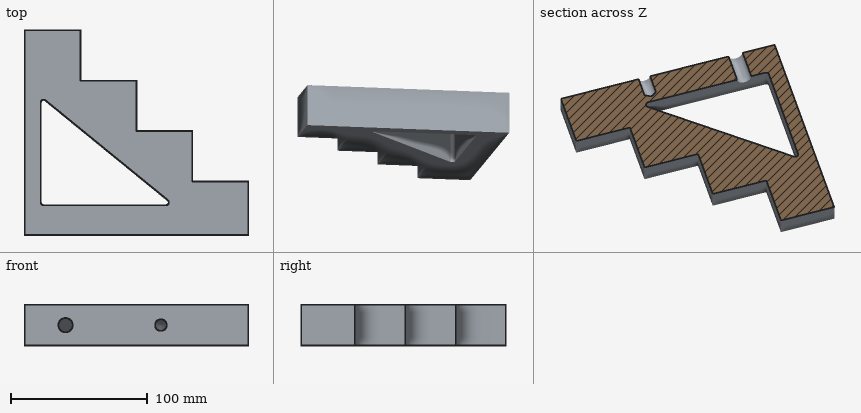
import cadquery as cq
import math

length = 164.0
depth = 150.0
thickness = 30.0
step_count = 4
step_run = length / step_count
step_rise = 36.9

window_left = 12.0
window_right = 105.6
window_bottom = 22.0
window_top = 99.0
window_corner_radius = 2.0

through_hole_x = 30.0
through_hole_diameter = 10.5
blind_hole_x = 99.9
blind_hole_diameter = 8.5
blind_hole_depth = 14.8
drill_tip_angle = 118.0


def stepped_plate():
    """Plate whose far side climbs in equal steps."""
    points = [(0, 0), (length, 0)]
    for step in range(step_count):
        right = length - step * step_run
        top = depth - (step_count - 1 - step) * step_rise
        points += [(right, top), (right - step_run, top)]
    return cq.Workplane("XY").polyline(points).close().extrude(thickness)


def window():
    """Right triangle through the thickness, grown from its corner arc centres."""
    left = window_left + window_corner_radius
    right = window_right - window_corner_radius
    bottom = window_bottom + window_corner_radius
    top = window_top - window_corner_radius
    return (
        cq.Workplane("XY")
        .polyline([(left, bottom), (right, bottom), (left, top)])
        .close()
        .offset2D(window_corner_radius, "arc")
        .extrude(thickness)
    )


def through_hole():
    """Round hole from the long edge into the window."""
    return (
        cq.Workplane("XZ")
        .center(through_hole_x, thickness / 2)
        .circle(through_hole_diameter / 2)
        .extrude(-(window_bottom + window_corner_radius))
    )


def blind_hole():
    """Drilled hole with a conical end that stops short of the window."""
    radius = blind_hole_diameter / 2
    tip_length = radius / math.tan(math.radians(drill_tip_angle / 2))
    return (
        cq.Workplane("XY")
        .polyline([(0, 0), (radius, 0), (radius, blind_hole_depth), (0, blind_hole_depth + tip_length)])
        .close()
        .revolve(360, (0, 0), (0, 1))
        .translate((blind_hole_x, 0, thickness / 2))
    )


result = stepped_plate().cut(window()).cut(through_hole()).cut(blind_hole())